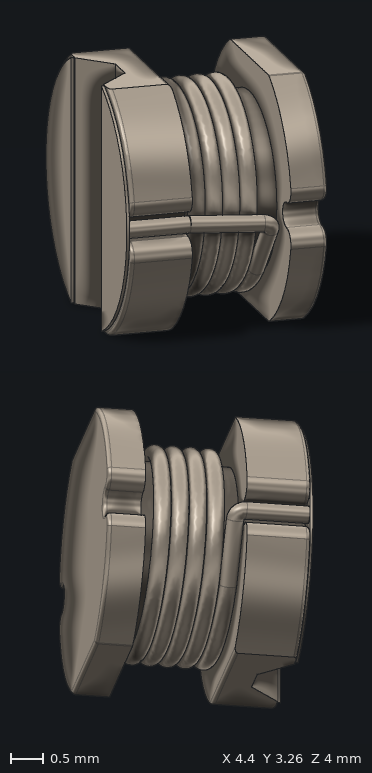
import cadquery as cq
import math


width = 4.4
height = 4.0
half_height = height / 2
edge_fillet = 0.06

pad_thickness = 0.05
lower_flange_thickness = 1.005
post_length = 1.6
upper_flange_thickness = 0.6
lower_flange_top = pad_thickness + lower_flange_thickness
upper_flange_base = lower_flange_top + post_length
post_radius = 1.45

notch_radius = 0.202
lip_radius = 0.238
lip_x = width / 2 - lip_radius
lip_z = notch_radius + lip_radius
lip_distance = math.hypot(lip_x, lip_z)
flange_radius = lip_radius + lip_distance
flat_half = math.sqrt(flange_radius**2 - half_height**2)

groove_depth = 0.5
groove_floor_half = 0.25
groove_mouth_half = groove_floor_half + groove_depth

pad_radius = 2.145
pad_inner_x = 0.8

wire_radius = 0.135
clearance = 0.002
pitch = 0.28
full_turns = 4
coil_radius = post_radius + wire_radius + clearance
coil_end_y = lower_flange_top + wire_radius + clearance

lead_x = 2.0
bend_radius = 0.15
start_corner_x = 2.04
start_corner_z = -0.09


def polar(radius, angle):
    """Point at a radius and angle from the origin of a plane."""
    return (radius * math.cos(angle), radius * math.sin(angle))


def flange_outline(base_y):
    """Circle with flats at top and bottom and a round-lipped notch on each side."""
    lip_angle = math.atan2(lip_z, lip_x)
    flat_angle = math.atan2(half_height, flat_half)
    rim_x, rim_z = polar(flange_radius, lip_angle)
    rim_mid_x, rim_mid_z = polar(flange_radius, (lip_angle + flat_angle) / 2)
    lip_mid_angle = (lip_angle - math.pi / 2) / 2
    lip_dx, lip_dz = polar(lip_radius, lip_mid_angle)
    lip_mid_x = lip_x + lip_dx
    lip_mid_z = lip_z + lip_dz
    outline = cq.Workplane("XZ", origin=(0, base_y, 0)).moveTo(-flat_half, half_height)
    for side in (1, -1):
        outline = (
            outline.lineTo(side * flat_half, side * half_height)
            .threePointArc((side * rim_mid_x, side * rim_mid_z), (side * rim_x, side * rim_z))
            .threePointArc((side * lip_mid_x, side * lip_mid_z), (side * lip_x, side * notch_radius))
            .threePointArc((side * (lip_x - notch_radius), 0), (side * lip_x, -side * notch_radius))
            .threePointArc((side * lip_mid_x, -side * lip_mid_z), (side * rim_x, -side * rim_z))
            .threePointArc((side * rim_mid_x, -side * rim_mid_z), (side * flat_half, -side * half_height))
        )
    return outline.close()


def make_lower_flange():
    """Flange that carries the pads, grooved between them."""
    body = flange_outline(pad_thickness).extrude(-lower_flange_thickness)
    body = body.faces("<Y").edges("%CIRCLE").fillet(edge_fillet)
    body = body.faces(">Y").edges("%LINE").fillet(edge_fillet)
    groove = (
        cq.Workplane("XY", origin=(0, 0, -height))
        .polyline(
            [
                (-groove_mouth_half, pad_thickness),
                (-groove_floor_half, pad_thickness + groove_depth),
                (groove_floor_half, pad_thickness + groove_depth),
                (groove_mouth_half, pad_thickness),
            ]
        )
        .close()
        .extrude(2 * height)
    )
    return body.cut(groove)


def make_upper_flange():
    """Plain flange with a rounded far rim."""
    body = flange_outline(upper_flange_base).extrude(-upper_flange_thickness)
    body = body.edges("|Y and (>Z or <Z)").fillet(edge_fillet)
    return body.faces(">Y").edges().fillet(edge_fillet)


def make_core():
    """Winding post between the two flanges."""
    post = cq.Workplane("XZ", origin=(0, lower_flange_top, 0)).circle(post_radius).extrude(-post_length)
    return make_lower_flange().union(post).union(make_upper_flange())


def make_pad(side):
    """Circular segment on the lower flange, on the side of X given by the sign of side."""
    corner_z = math.sqrt(pad_radius**2 - pad_inner_x**2)
    return (
        cq.Workplane("XZ")
        .moveTo(side * pad_inner_x, -corner_z)
        .threePointArc((side * pad_radius, 0), (side * pad_inner_x, corner_z))
        .close()
        .extrude(-pad_thickness)
    )


def sweep_wire(path, start, direction):
    """Round wire swept along a path from its start point and direction."""
    section = cq.Workplane(cq.Plane(origin=start, normal=direction)).circle(wire_radius)
    return section.sweep(path, isFrenet=True)


def make_lead(coil_point, coil_direction, corner, end):
    """Wire from the coil's end face straight to a rounded corner, then straight down to an end point."""
    inward = (coil_point - corner).normalized()
    downward = (end - corner).normalized()
    half_turn = inward.getAngle(downward) / 2
    setback = bend_radius / math.tan(half_turn)
    middle = (inward + downward).normalized()
    bend_center = corner + middle * (bend_radius / math.sin(half_turn))
    bend_start = corner + inward * setback
    bend_mid = bend_center - middle * bend_radius
    bend_end = corner + downward * setback
    path = cq.Workplane(
        cq.Wire.assembleEdges(
            [
                cq.Edge.makeLine(coil_point, bend_start),
                cq.Edge.makeThreePointArc(bend_start, bend_mid, bend_end),
                cq.Edge.makeLine(bend_end, end),
            ]
        )
    )
    return sweep_wire(path, coil_point, coil_direction)


def make_winding():
    """Left-handed coil with a tangent lead at each end, in one piece."""
    end_angle = math.acos(coil_radius / lead_x)
    corner_distance = math.hypot(start_corner_x, start_corner_z)
    start_angle = math.acos(coil_radius / corner_distance) - math.atan2(start_corner_z, start_corner_x)
    turns = full_turns + (math.pi - end_angle - start_angle) / (2 * math.pi)
    coil_length = pitch * turns
    coil_start_y = coil_end_y + coil_length

    helix = (
        cq.Wire.makeHelix(pitch, coil_length, coil_radius, lefthand=True)
        .rotate(cq.Vector(0, 0, 0), cq.Vector(1, 0, 0), -90)
        .rotate(cq.Vector(0, 0, 0), cq.Vector(0, 1, 0), 180 - math.degrees(end_angle))
        .translate(cq.Vector(0, coil_end_y, 0))
    )
    end_point = helix.startPoint()
    end_direction = -helix.tangentAt(0)
    start_point = helix.endPoint()
    start_direction = helix.tangentAt(1)
    coil = sweep_wire(cq.Workplane(helix), end_point, -end_direction)

    end_corner = cq.Vector(-lead_x, coil_end_y, 0)
    end_lead = make_lead(end_point, end_direction, end_corner, cq.Vector(-lead_x, pad_thickness / 2, 0))
    end_lead = end_lead.cut(make_pad(-1))

    start_corner = cq.Vector(start_corner_x, coil_start_y, start_corner_z)
    start_entry = cq.Vector(lead_x, lower_flange_top, 0)
    start_lead = make_lead(start_point, start_direction, start_corner, start_entry)
    start_tail = (
        cq.Workplane("XZ", origin=(lead_x, pad_thickness, 0))
        .circle(wire_radius)
        .extrude(-lower_flange_thickness)
    )
    return start_lead.union(start_tail).union(coil).union(end_lead)


core = make_core()
winding = make_winding()
pads = [make_pad(side) for side in (-1, 1)]

result = cq.Compound.makeCompound(
    [*core.solids().vals(), *winding.solids().vals(), *[pad.val() for pad in pads]]
)